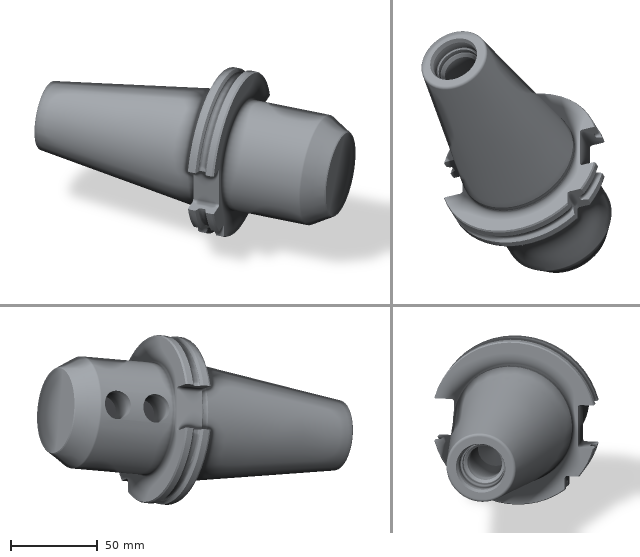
import cadquery as cq
import math

LENGTH = 181.6

TAPER_RATE = 7 / 24
TAPER_END_X = 100.6
TAPER_END_R = 34.9
TAPER_TIP_R = TAPER_END_R - TAPER_END_X * TAPER_RATE / 2
TIP_FILLET = 1.6
NECK_X = 101.7
NECK_R = 34.7

FLANGE_X = 104.8
FLANGE_THICKNESS = 16.0
FLANGE_END_X = FLANGE_X + FLANGE_THICKNESS
FLANGE_R = 48.7
FLANGE_CHAMFER_LENGTH = 1.0
FLANGE_CHAMFER_DEPTH = 0.5
ROOT_FILLET = 1.0

GROOVE_X = FLANGE_X + FLANGE_THICKNESS / 2
GROOVE_HALF_MOUTH = 3.3
GROOVE_HALF_FLOOR = 2.2
GROOVE_FLOOR_R = 45.4
GROOVE_WALL_ANGLE = math.radians(30)
GROOVE_FILLET = 1.0
GROOVE_SLOPE_R = FLANGE_R - (GROOVE_HALF_MOUTH - GROOVE_HALF_FLOOR) / math.tan(GROOVE_WALL_ANGLE)

SLOT_WIDTH = 25.6
SLOT_FLOOR_PLUS_Y = 35.2
SLOT_FLOOR_MINUS_Y = 37.6
NOTCH_Y = 29.8
NOTCH_Z = 30.0
CUT_FILLET = 1.5

SHANK_R = 32.5
NOSE_X = 168.3
NOSE_ANGLE = math.radians(30)
NOSE_FILLET = 1.5
NOSE_CHAMFER = 0.5
NOSE_RIM_X = LENGTH - NOSE_CHAMFER
NOSE_RIM_R = SHANK_R - (NOSE_RIM_X - NOSE_X) * math.tan(NOSE_ANGLE)

BORE_MOUTH_R = 14.5
BORE_PILOT_R = 13.6
BORE_PILOT_X = 2.7
BORE_RELIEF_R = 12.3
BORE_RELIEF_X = 8.0
BORE_SEAT_R = 11.6
BORE_SEAT_X = 10.9
BORE_CORE_R = 10.2
BORE_CORE_X = 12.5
BORE_DEPTH = 45.4
DRILL_HALF_ANGLE = math.radians(60)

SCREW_R = 8.4
SCREW_XS = (132.7, 157.5)
SCREW_DEPTH = 20.0


def revolve_about_x(points):
    """Solid of revolution about X from an outline of (x, radius) points."""
    return cq.Workplane("XY").polyline(points).close().revolve(360, (0, 0, 0), (1, 0, 0))


def ring_edges(x, radius):
    """Selector for circular edges at a place along X that are no larger than the given radius."""
    margin = 0.09
    reach = radius + margin
    low = (x - margin, -reach, -reach)
    high = (x + margin, reach, reach)
    return cq.selectors.BoxSelector(low, high, boundingbox=True)


def turned_body():
    """Taper, neck, grooved flange, shank and nose, with their fillets."""
    body = revolve_about_x([
        (0, 0),
        (0, TAPER_TIP_R),
        (TAPER_END_X, TAPER_END_R),
        (NECK_X, NECK_R),
        (FLANGE_X, NECK_R),
        (FLANGE_X, FLANGE_R - FLANGE_CHAMFER_DEPTH),
        (FLANGE_X + FLANGE_CHAMFER_LENGTH, FLANGE_R),
        (GROOVE_X - GROOVE_HALF_MOUTH, FLANGE_R),
        (GROOVE_X - GROOVE_HALF_FLOOR, GROOVE_SLOPE_R),
        (GROOVE_X - GROOVE_HALF_FLOOR, GROOVE_FLOOR_R),
        (GROOVE_X + GROOVE_HALF_FLOOR, GROOVE_FLOOR_R),
        (GROOVE_X + GROOVE_HALF_FLOOR, GROOVE_SLOPE_R),
        (GROOVE_X + GROOVE_HALF_MOUTH, FLANGE_R),
        (FLANGE_END_X - FLANGE_CHAMFER_LENGTH, FLANGE_R),
        (FLANGE_END_X, FLANGE_R - FLANGE_CHAMFER_DEPTH),
        (FLANGE_END_X, SHANK_R),
        (NOSE_X, SHANK_R),
        (NOSE_RIM_X, NOSE_RIM_R),
        (LENGTH, NOSE_RIM_R - NOSE_CHAMFER),
        (LENGTH, 0),
    ])
    fillets = [
        (0, TAPER_TIP_R, TIP_FILLET),
        (FLANGE_X, NECK_R, ROOT_FILLET),
        (GROOVE_X - GROOVE_HALF_FLOOR, GROOVE_FLOOR_R, GROOVE_FILLET),
        (GROOVE_X + GROOVE_HALF_FLOOR, GROOVE_FLOOR_R, GROOVE_FILLET),
        (FLANGE_END_X, SHANK_R, ROOT_FILLET),
        (NOSE_X, SHANK_R, NOSE_FILLET),
    ]
    for x, radius, size in fillets:
        body = body.edges(ring_edges(x, radius)).fillet(size)
    return body


def flange_cutter(y_size, z_size):
    """Block as thick as the flange with its edges along X rounded, centred on the axis."""
    block = cq.Workplane("XY").box(FLANGE_THICKNESS, y_size, z_size)
    return block.edges("|X").fillet(CUT_FILLET).translate((GROOVE_X, 0, 0))


def drive_slot(side, floor):
    """Cutter for the slot on the +Y (side 1) or -Y (side -1) edge of the flange."""
    return flange_cutter(FLANGE_R, SLOT_WIDTH).translate((0, side * (floor + FLANGE_R / 2), 0))


def orientation_notch():
    """Cutter for the corner notch between -Y and -Z."""
    cutter = flange_cutter(FLANGE_R, FLANGE_R)
    return cutter.translate((0, -NOTCH_Y - FLANGE_R / 2, -NOTCH_Z - FLANGE_R / 2))


def taper_bore():
    """Cutter for the stepped blind bore with a drilled point."""
    return revolve_about_x([
        (0, 0),
        (0, BORE_MOUTH_R),
        (BORE_PILOT_X, BORE_PILOT_R),
        (BORE_RELIEF_X, BORE_PILOT_R),
        (BORE_RELIEF_X, BORE_RELIEF_R),
        (BORE_SEAT_X, BORE_RELIEF_R),
        (BORE_SEAT_X, BORE_SEAT_R),
        (BORE_CORE_X, BORE_CORE_R),
        (BORE_DEPTH, BORE_CORE_R),
        (BORE_DEPTH + BORE_CORE_R / math.tan(DRILL_HALF_ANGLE), 0),
    ])


def screw_hole(x):
    """Cutter for a blind radial hole entering from the +Y side."""
    hole = cq.Workplane("XZ").circle(SCREW_R).extrude(SCREW_DEPTH)
    return hole.translate((x, SHANK_R, 0))


result = turned_body()
result = result.cut(drive_slot(1, SLOT_FLOOR_PLUS_Y))
result = result.cut(drive_slot(-1, SLOT_FLOOR_MINUS_Y))
result = result.cut(orientation_notch())
result = result.cut(taper_bore())
for screw_x in SCREW_XS:
    result = result.cut(screw_hole(screw_x))